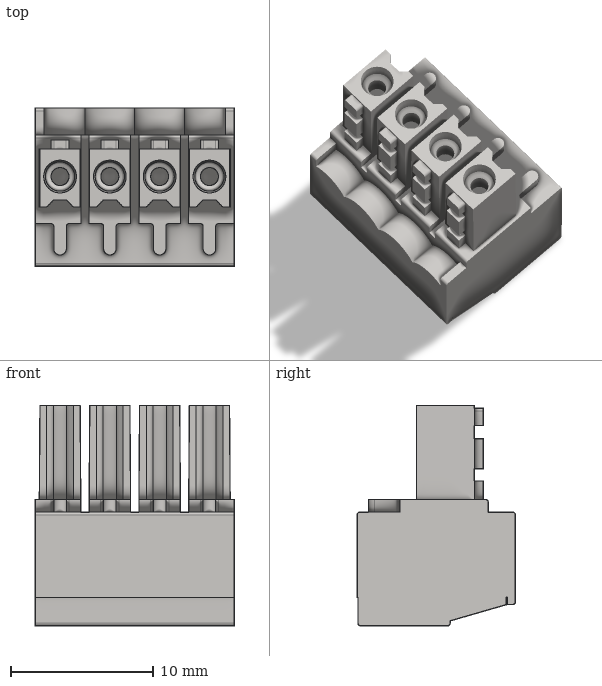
import cadquery as cq


contact_count = 4
pitch = 3.5
width = contact_count * pitch
contact_x = [(i - (contact_count - 1) / 2) * pitch for i in range(contact_count)]

depth = 11.13
body_height = 8.0
edge_radius = 0.2
front_relief = 0.06
front_relief_height = 2.0
foot_depth = 6.55
foot_step = 0.35
back_bottom = 1.5
back_lip = 0.6
lip_slot_width = 0.08
lip_slot_height = 0.5

ledge_depth = 1.91
end_plate = 0.63
hump_radius = 2.1
hump_drop = 0.7
trough_bottom = 5.0

pad_top = 8.9
pad_half = 1.465
pad_front = 3.0
pad_back = depth - ledge_depth
tongue_half = 0.44
tongue_tip = 0.8
inner_corner_radius = 0.2

tower_top = 15.5
tower_front = 4.16
tower_back = 8.25
tower_half_bottom = pad_half
tower_half_top = 1.42
groove_depth = 0.49
groove_half_mouth = 0.94
groove_half_floor = 0.47

hole_y = 6.31
hole_mouth_radius = 1.15
hole_throat_radius = 1.03
hole_bore_radius = 0.63
hole_throat_depth = 0.88
hole_cone_depth = 1.1
hole_depth = 2.5

rib_spans = [(pad_top, 10.2), (11.03, 13.16), (14.07, 15.3)]
rib_half = 0.62
rib_depth = 0.62
rib_radius = 0.2


def box(x_min, x_max, y_min, y_max, z_min, z_max):
    return cq.Workplane("XY").box(
        x_max - x_min, y_max - y_min, z_max - z_min, centered=False
    ).translate((x_min, y_min, z_min))


def housing():
    """Side profile swept along the row, with rounded long edges."""
    lip_y = depth - back_lip
    profile = [
        (front_relief, 0),
        (foot_depth, 0),
        (foot_depth, foot_step),
        (lip_y, back_bottom),
        (depth, back_bottom),
        (depth, body_height),
        (0, body_height),
        (0, front_relief_height),
        (front_relief, front_relief_height),
    ]
    body = cq.Workplane("YZ").polyline(profile).close().extrude(width / 2, both=True)
    rounded = [
        (front_relief, 0),
        (foot_depth, 0),
        (depth, back_bottom),
        (depth, body_height),
        (0, body_height),
    ]
    for y, z in rounded:
        edge = cq.selectors.NearestToPointSelector((0, y, z))
        body = body.edges("|X").edges(edge).fillet(edge_radius)
    slot = box(
        -width / 2, width / 2,
        lip_y - lip_slot_width / 2, lip_y + lip_slot_width / 2,
        0, back_bottom + lip_slot_height,
    )
    return body.cut(slot)


def ledge_trough():
    """Material removed from the back ledge so that a row of barrel humps is left."""
    inner_half = width / 2 - end_plate
    trough = box(-inner_half, inner_half, pad_back, depth, trough_bottom, body_height)
    hump_axis_z = body_height - hump_drop - hump_radius
    for x in contact_x:
        hump = (
            cq.Workplane("XZ", origin=(x, depth, hump_axis_z))
            .circle(hump_radius)
            .extrude(ledge_depth)
        )
        trough = trough.cut(hump)
    return trough


def pad(x, x_min, x_max):
    """Raised pad with a round-ended tongue pointing to the front."""
    height = pad_top - body_height
    tip_center = tongue_tip + tongue_half
    base = (
        box(x_min, x_max, pad_front, pad_back, body_height, pad_top)
        .edges("|X and >Y and >Z")
        .fillet(edge_radius)
    )
    r = inner_corner_radius
    tongue = (
        cq.Workplane("XY", origin=(x, 0, body_height))
        .moveTo(-tongue_half - r, pad_front)
        .radiusArc((-tongue_half, pad_front - r), r)
        .lineTo(-tongue_half, tip_center)
        .threePointArc((0, tongue_tip), (tongue_half, tip_center))
        .lineTo(tongue_half, pad_front - r)
        .radiusArc((tongue_half + r, pad_front), r)
        .close()
        .extrude(height)
    )
    return base.union(tongue)


def tower_body(x):
    """Block narrowing upwards in X, grooved down its front and ribbed down its back."""
    sides = [
        (-tower_half_bottom, pad_top),
        (tower_half_bottom, pad_top),
        (tower_half_top, tower_top),
        (-tower_half_top, tower_top),
    ]
    body = (
        cq.Workplane("XZ", origin=(x, tower_back, 0))
        .polyline(sides)
        .close()
        .extrude(tower_back - tower_front)
    )
    groove = (
        cq.Workplane("XY", origin=(x, tower_front, pad_top))
        .polyline([
            (-groove_half_mouth, 0),
            (groove_half_mouth, 0),
            (groove_half_floor, groove_depth),
            (-groove_half_floor, groove_depth),
        ])
        .close()
        .extrude(tower_top - pad_top)
    )
    body = body.cut(groove)
    for bottom, top in rib_spans:
        body = body.union(
            box(x - rib_half, x + rib_half, tower_back, tower_back + rib_depth, bottom, top)
        )
    top_rib_edges = cq.selectors.BoxSelector(
        (x - 2 * rib_half, tower_back, rib_spans[-1][1] - rib_radius),
        (x + 2 * rib_half, tower_back + rib_depth, tower_top),
    )
    return body.edges(top_rib_edges).edges("|Y").fillet(rib_radius)


def screw_hole(x):
    """Slightly tapered mouth, then a shallow cone into a flat-bottomed bore."""
    return (
        cq.Workplane("XZ", origin=(x, hole_y, tower_top))
        .polyline([
            (0, 0),
            (hole_mouth_radius, 0),
            (hole_throat_radius, -hole_throat_depth),
            (hole_bore_radius, -hole_cone_depth),
            (hole_bore_radius, -hole_depth),
            (0, -hole_depth),
        ])
        .close()
        .revolve(360, (0, 0, 0), (0, 1, 0))
    )


result = housing().cut(ledge_trough())
for index, x in enumerate(contact_x):
    first = index == 0
    last = index == contact_count - 1
    x_min = -width / 2 if first else x - pad_half
    x_max = width / 2 if last else x + pad_half
    result = result.union(pad(x, x_min, x_max)).union(tower_body(x)).cut(screw_hole(x))